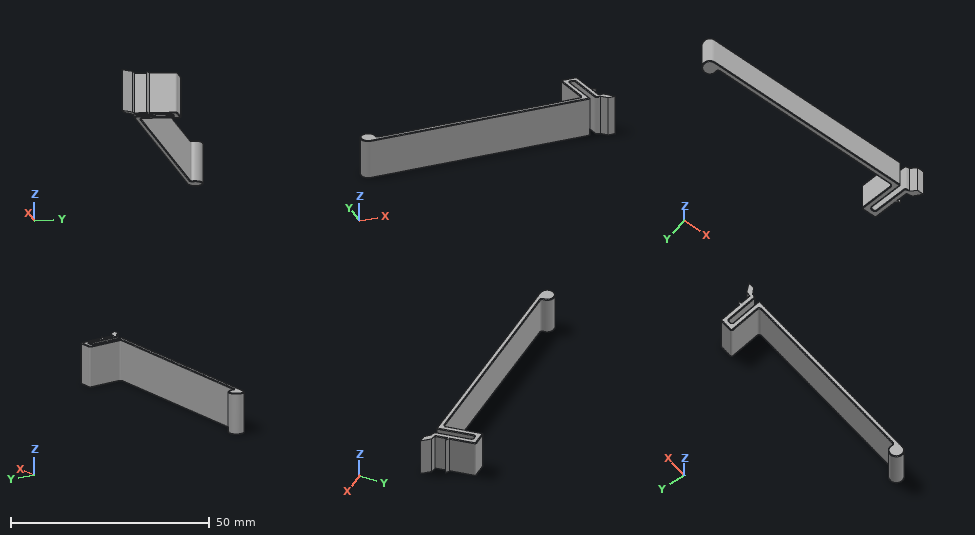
import cadquery as cq
import math

length = 67.8
depth = 13.0
height = 10.8
edge_chamfer = 0.2

arm_wall = 1.35
arm_front = 1.4
bead_radius = 2.05
bead_fillet = 0.5

clip_wall = 1.5
lean_angle = math.radians(10)
lean = math.tan(lean_angle)
leg_width = clip_wall / math.cos(lean_angle)
leg_start = 60.1
slot_width = 1.5
slot_end = depth - clip_wall
slot_fillet = 0.5
inner_fillet = 0.55
front_fillet = 0.3
back_fillet = 0.5
toe_fillet = 0.7

tab_root = 2.45
tab_shoulder = (65.9, 2.2)
tab_tip_width = 2.0
tab_setback = 0.2
tab_bulge = 0.1

catch_front = 5.55
catch_back = 6.2
catch_reach = 0.95

slot_left = leg_start + leg_width
slot_right = slot_left + slot_width
leg_end = slot_right + leg_width


def leaning(x_at_front, y):
    """Point at depth y on a leg face that starts at x_at_front."""
    return (x_at_front - (y - arm_front) * lean, y)


def extrude_outline(points):
    return cq.Workplane("XY").polyline(points).close().extrude(height)


def round_edge(body, point, radius):
    """Fillet the upright edge that passes through the given outline point."""
    x, y = point
    reach = 0.035
    box = cq.selectors.BoxSelector((x - reach, y - reach, -0.7), (x + reach, y + reach, height + 0.7))
    return body.edges("|Z").edges(box).fillet(radius)


def make_body():
    """Arm, bead and folded clip, with all top and bottom edges chamfered."""
    arm_back = arm_front + arm_wall
    bead_y = arm_front + bead_radius
    bead_joint_x = bead_radius + math.sqrt(bead_radius**2 - (arm_back - bead_y) ** 2)
    rounded_corners = [
        (leaning(leg_start, arm_back), inner_fillet),
        (leaning(leg_start, depth), back_fillet),
        (leaning(leg_end, depth), back_fillet),
        (leaning(slot_right, arm_front), toe_fillet),
        (leaning(slot_right, slot_end), slot_fillet),
        (leaning(slot_left, slot_end), slot_fillet),
        (leaning(slot_left, arm_front), front_fillet),
    ]
    body = extrude_outline([
        (bead_radius, arm_front),
        (bead_radius, arm_back),
        leaning(leg_start, arm_back),
        leaning(leg_start, depth),
        leaning(leg_end, depth),
        leaning(leg_end, arm_front),
        leaning(slot_right, arm_front),
        leaning(slot_right, slot_end),
        leaning(slot_left, slot_end),
        leaning(slot_left, arm_front),
    ])
    bead = cq.Workplane("XY").center(bead_radius, bead_y).circle(bead_radius).extrude(height)
    body = body.union(bead)
    body = round_edge(body, (bead_joint_x, arm_back), bead_fillet)
    for corner, radius in rounded_corners:
        body = round_edge(body, corner, radius)
    return body.faces("<Z or >Z").edges().chamfer(edge_chamfer)


def make_tab():
    """Sloping finger tab, rooted inside the outer leg."""
    root_x = leg_end - leg_width / 2
    shoulder_x, shoulder_y = tab_shoulder
    root_back = leaning(leg_end, tab_root)
    bend = ((root_back[0] + shoulder_x) / 2, (tab_root + shoulder_y) / 2 + tab_bulge)
    return (
        cq.Workplane("XY")
        .moveTo(root_x, arm_front)
        .lineTo(leg_end - tab_setback, arm_front)
        .lineTo(length - tab_tip_width, 0)
        .lineTo(length, 0)
        .lineTo(shoulder_x, shoulder_y)
        .threePointArc(bend, root_back)
        .lineTo(root_x, tab_root)
        .close()
        .extrude(height)
    )


def make_catch():
    """Small pointed ridge, rooted inside the outer leg."""
    root_x = leg_end - leg_width / 2
    face_x, _ = leaning(leg_end, catch_front)
    return extrude_outline([
        leaning(root_x, catch_front),
        (face_x + catch_reach, catch_front),
        leaning(leg_end, catch_back),
        leaning(root_x, catch_back),
    ])


result = make_body().union(make_tab()).union(make_catch())